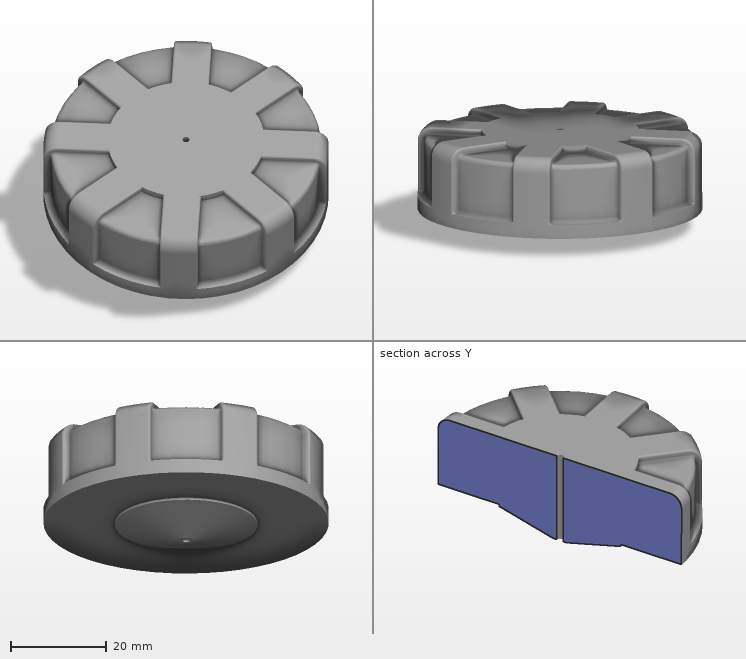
import cadquery as cq
import math

cap_diameter = 60.0
cap_height = 17.0
cap_edge_radius = 3.0

rib_count = 8
rib_width = 8.0
pocket_depth = 1.5
pocket_inner_radius = 16.5
rim_height = 3.0
pocket_edge_radius = 0.95
rib_fillet = 0.5

boss_diameter = 30.0
boss_tip_diameter = 3.5
boss_height = 4.0
boss_step = 0.5
hole_diameter = 1.5

cap_radius = cap_diameter / 2
core_radius = cap_radius - pocket_depth
floor_height = cap_height - pocket_depth
rib_pitch = 360.0 / rib_count
rib_half_width = rib_width / 2
tolerance = 0.005


def make_cap():
    """Plain round cap with a rounded upper edge."""
    blank = cq.Workplane("XY").circle(cap_radius).extrude(cap_height)
    return blank.faces(">Z").edges().fillet(cap_edge_radius)


def make_pocket_ring():
    """Ring of material outside the pocket floors, with a rounded shoulder and a rounded root at the rim."""
    diagonal = math.sqrt(0.5)
    r = pocket_edge_radius
    shoulder_middle = (core_radius - r + r * diagonal, floor_height - r + r * diagonal)
    root_middle = (core_radius + r - r * diagonal, rim_height + r - r * diagonal)
    outside_radius = cap_radius + pocket_depth
    outside_height = cap_height + pocket_depth
    profile = (
        cq.Workplane("XZ")
        .moveTo(pocket_inner_radius, floor_height)
        .lineTo(core_radius - r, floor_height)
        .threePointArc(shoulder_middle, (core_radius, floor_height - r))
        .lineTo(core_radius, rim_height + r)
        .threePointArc(root_middle, (core_radius + r, rim_height))
        .lineTo(outside_radius, rim_height)
        .lineTo(outside_radius, outside_height)
        .lineTo(pocket_inner_radius, outside_height)
        .close()
    )
    return profile.revolve(360, (0, 0, 0), (0, 1, 0))


def make_rib_bars():
    """Straight bars through the axis; each one fills two opposite ribs."""
    bars = cq.Workplane("XY")
    for index in range(rib_count // 2):
        bar = cq.Workplane("XY").box(2 * cap_diameter, rib_width, 2 * cap_height)
        bars = bars.union(bar.rotate((0, 0, 0), (0, 0, 1), index * rib_pitch))
    return bars


def make_boss():
    """Shallow cone below the cap with a short cylindrical step at its base."""
    profile = (
        cq.Workplane("XZ")
        .lineTo(boss_diameter / 2, 0)
        .lineTo(boss_diameter / 2, -boss_step)
        .lineTo(boss_tip_diameter / 2, -boss_height)
        .lineTo(0, -boss_height)
        .close()
    )
    return profile.revolve(360, (0, 0, 0), (0, 1, 0))


def is_on_rib_side(point):
    """True when the point lies in the side plane of one of the ribs."""
    for index in range(rib_count):
        angle = math.radians(index * rib_pitch)
        along = point.x * math.cos(angle) + point.y * math.sin(angle)
        across = point.y * math.cos(angle) - point.x * math.sin(angle)
        if along > 0 and abs(abs(across) - rib_half_width) < tolerance:
            return True
    return False


def rib_side_edges(shape, is_wanted):
    """Edges that run along a rib side and whose midpoint passes the given test."""
    return [
        edge
        for edge in shape.edges().vals()
        if all(is_on_rib_side(edge.positionAt(t)) for t in (0, 0.5, 1)) and is_wanted(edge.positionAt(0.5))
    ]


cap = make_cap()
cap_solid = cap.val()
cap_skin = cap_solid.Shells()[0]


def is_on_cap_skin(point):
    return cap_skin.distance(cq.Vertex.makeVertex(*point.toTuple())) < tolerance


def is_on_pocket_floor(point):
    clear_of_inner_wall = math.hypot(point.x, point.y) > pocket_inner_radius + rib_fillet
    return clear_of_inner_wall and cap_solid.isInside(point) and not is_on_cap_skin(point)


pockets = make_pocket_ring().cut(make_rib_bars())
pockets = pockets.newObject(rib_side_edges(pockets, is_on_pocket_floor)).fillet(rib_fillet)

body = cap.cut(pockets)
body = body.newObject(rib_side_edges(body, is_on_cap_skin)).fillet(rib_fillet)

body = body.union(cq.Workplane("XY").circle(cap_radius).extrude(rim_height))

hole_start = cq.Workplane("XY", origin=(0, 0, -boss_height))
hole = hole_start.circle(hole_diameter / 2).extrude(boss_height + cap_height)

result = body.union(make_boss()).cut(hole)